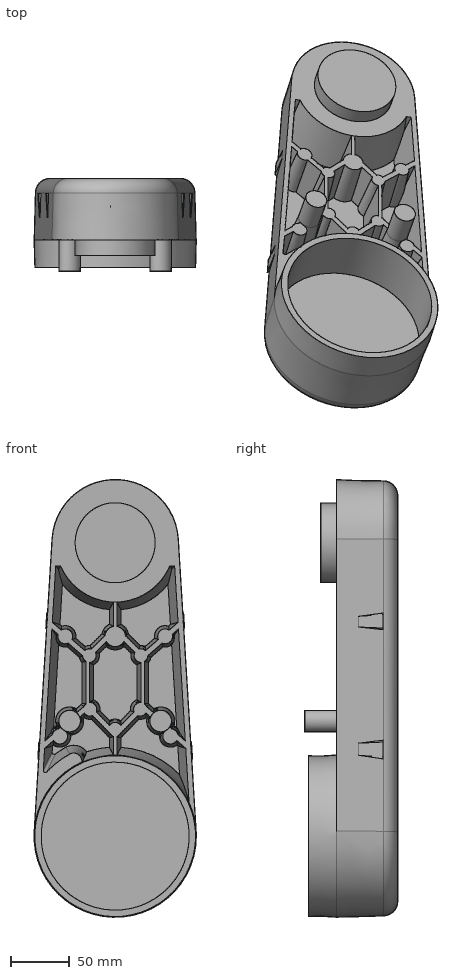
import cadquery as cq
import math

hub_radius = 69.21
end_radius = 53.97
center_distance = 250.07
body_thickness = 52.39
back_fillet = 12.7
outer_draft = 1.5

ring_height = 23.8
cup_radius = 63.1
cup_floor_y = 23.0
end_boss_radius = 34.1
end_boss_height = 13.5

cavity_depth = body_thickness - back_fillet
cavity_draft = 9.5
side_wall = 4.6
cavity_top_z = 230.3
end_pad_radius = 50.6
side_pad_radius = 80.0
side_pad_angles = (113.5, 165.0)
side_pad_rounding = 7.0
pad_corner_radius = 1.8
pad_corner = (-58.5, cavity_depth / 2, 60.0)

straight_rib_width = 3.0
straight_rib_draft = 5.0
diagonal_rib_width = 4.6
diagonal_rib_draft = 4.0
post_draft = 4.0
upper_vertex = (0, 176.4)
lower_vertex = (0, 86.2)
upper_node = (-23.5, 153.1)
lower_node = (-23.5, 110.3)
upper_rib_tip = (-70.0, 193.5)
lower_rib_tip = (-75.0, 64.6)

rib_tip_inset = 1.55
rib_tip_draft = 3.2

axis_posts = [(0, 170.2, 8.7), (0, 91.2, 5.8)]
side_posts = [(-42.6, 170.3, 6.35), (-22.0, 153.9, 5.8), (-21.5, 108.1, 5.8), (-47.1, 85.1, 6.5)]
pin_x = -38.8
pin_z = 98.1
pin_radius = 9.2
pin_height = 26.99

flank_angle = math.asin((hub_radius - end_radius) / center_distance)


def growth(depth, draft):
    return depth * math.tan(math.radians(draft))


def front_plane(y):
    """Sketch plane facing -Y at depth y, with sketch axes along X and Z."""
    return cq.Workplane("XZ", origin=(0, y, 0))


def polar(radius, degrees):
    angle = math.radians(degrees)
    return (radius * math.cos(angle), radius * math.sin(angle))


def frustum(x, z, front_radius, depth, draft):
    """Round block behind the front face that widens toward the back."""
    back_radius = front_radius + growth(depth, draft)
    return front_plane(depth).center(x, z).circle(back_radius).extrude(depth, taper=draft)


def disc(x, z, radius, y_back, height):
    return front_plane(y_back).center(x, z).circle(radius).extrude(height)


def arm_body():
    """Drafted tapered arm, narrower at its rounded back."""
    inset = growth(body_thickness, outer_draft)
    lower = hub_radius - inset
    upper = end_radius - inset
    cos_flank = math.cos(flank_angle)
    sin_flank = math.sin(flank_angle)
    lower_tangent = (lower * cos_flank, lower * sin_flank)
    upper_tangent = (upper * cos_flank, center_distance + upper * sin_flank)
    body = (
        front_plane(body_thickness)
        .moveTo(*lower_tangent)
        .lineTo(*upper_tangent)
        .threePointArc((0, center_distance + upper), (-upper_tangent[0], upper_tangent[1]))
        .lineTo(-lower_tangent[0], lower_tangent[1])
        .threePointArc((0, -lower), lower_tangent)
        .close()
        .extrude(body_thickness, taper=-outer_draft)
    )
    return body.faces(">Y").edges().fillet(back_fillet)


def flank_block(inset, draft, bottom_z, top_z):
    """Block with sides parallel to the flanks, set in by inset at the front face.

    The sides and both ends spread toward the cavity floor; a negative draft narrows them instead.
    """
    spread = growth(cavity_depth, draft)

    def corners(offset):
        def half_width(z):
            return (hub_radius - inset - z * math.sin(flank_angle)) / math.cos(flank_angle) + offset

        low = bottom_z - offset
        high = top_z + offset
        return [
            (-half_width(low), low),
            (half_width(low), low),
            (half_width(high), high),
            (-half_width(high), high),
        ]

    floor_outline = front_plane(cavity_depth).polyline(corners(spread)).close()
    return floor_outline.workplane(offset=cavity_depth).polyline(corners(0)).close().loft(ruled=True)


def side_pad():
    """Solid block along the hub at the lower -X corner of the cavity, with one rounded end."""
    start, stop = side_pad_angles
    spread = growth(cavity_depth, cavity_draft)
    radius = side_pad_radius + spread
    rounding = side_pad_rounding + spread
    reach = radius - rounding
    end_line_shift = math.degrees(math.asin(side_pad_rounding / (side_pad_radius - side_pad_rounding)))
    center_angle = start + end_line_shift
    end_angle = center_angle - math.degrees(math.asin(rounding / reach))
    tangent_point = polar(reach * math.cos(math.radians(center_angle - end_angle)), end_angle)
    center = polar(reach, center_angle)
    mid_direction = polar(rounding, (center_angle + end_angle - 90) / 2)
    round_mid = (center[0] + mid_direction[0], center[1] + mid_direction[1])
    return (
        front_plane(cavity_depth)
        .lineTo(*tangent_point)
        .threePointArc(round_mid, polar(radius, center_angle))
        .threePointArc(polar(radius, (center_angle + stop) / 2), polar(radius, stop))
        .close()
        .extrude(cavity_depth, taper=cavity_draft)
    )


def cavity():
    """Drafted pocket between the flanks, bounded by the hub, the small end and the side pad."""
    pocket = flank_block(side_wall, -cavity_draft, 0, cavity_top_z)
    pocket = pocket.cut(frustum(0, 0, hub_radius, cavity_depth, cavity_draft))
    pocket = pocket.cut(frustum(0, center_distance, end_pad_radius, cavity_depth, cavity_draft))
    pocket = pocket.cut(side_pad())
    lowest_corner = pocket.edges("not(<Y or >Y)").edges(cq.selectors.NearestToPointSelector(pad_corner))
    return lowest_corner.fillet(pad_corner_radius)


def rib(start, stop, width, draft):
    """Drafted rib from start to stop, widening toward the cavity floor on all four sides."""
    run = stop[0] - start[0]
    rise = stop[1] - start[1]
    spread = 2 * growth(cavity_depth, draft)
    return (
        front_plane(cavity_depth)
        .center((start[0] + stop[0]) / 2, (start[1] + stop[1]) / 2)
        .transformed(rotate=(0, 0, math.degrees(math.atan2(rise, run))))
        .rect(math.hypot(run, rise) + spread, width + spread)
        .extrude(cavity_depth, taper=draft)
    )


def both_sides(shape):
    return shape.union(shape.mirror("YZ"))


def side_ribs():
    ribs = rib(upper_node, lower_node, straight_rib_width, straight_rib_draft)
    diagonals = [
        (upper_vertex, upper_node),
        (upper_node, upper_rib_tip),
        (lower_vertex, lower_node),
        (lower_node, lower_rib_tip),
    ]
    for start, stop in diagonals:
        ribs = ribs.union(rib(start, stop, diagonal_rib_width, diagonal_rib_draft))
    return both_sides(ribs).intersect(flank_block(rib_tip_inset, rib_tip_draft, 0, center_distance))


def axis_ribs():
    """Ribs on the centerline that tie the honeycomb to the small end and to the hub."""
    end_edge = (0, center_distance - end_pad_radius)
    hub_edge = (0, hub_radius)
    upper = rib(upper_vertex, end_edge, straight_rib_width, straight_rib_draft)
    lower = rib(lower_vertex, hub_edge, straight_rib_width, straight_rib_draft)
    return upper.union(lower)


def posts():
    group = frustum(pin_x, pin_z, pin_radius, cavity_depth, post_draft)
    for x, z, radius in side_posts:
        group = group.union(frustum(x, z, radius, cavity_depth, post_draft))
    group = both_sides(group)
    for x, z, radius in axis_posts:
        group = group.union(frustum(x, z, radius, cavity_depth, post_draft))
    return group


def hub_ring():
    return front_plane(0).circle(hub_radius).extrude(ring_height, taper=outer_draft)


result = arm_body().cut(cavity())
result = result.union(side_ribs()).union(axis_ribs()).union(posts())
result = result.union(both_sides(disc(pin_x, pin_z, pin_radius, 0, pin_height)))
result = result.union(disc(0, center_distance, end_boss_radius, 0, end_boss_height))
result = result.union(hub_ring())
result = result.cut(disc(0, 0, cup_radius, cup_floor_y, cup_floor_y + ring_height))